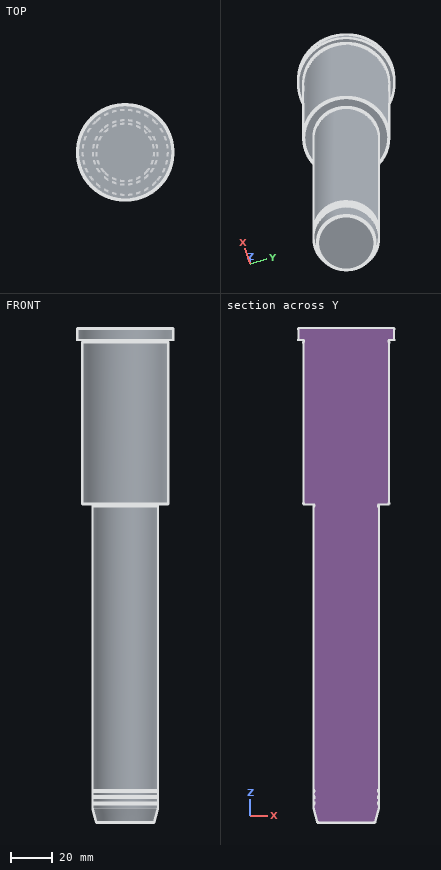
import cadquery as cq
import math

total_length = 241.0

head_diameter = 47.0
head_thickness = 6.0
head_chamfer = 0.5

shank_diameter = 42.0
shank_length = 80.0
shank_chamfer = 0.5

pin_diameter = 32.0

groove_width = 1.0
groove_depth = groove_width / 2
tip_groove_count = 3
tip_groove_pitch = 3.0
lowest_groove_bottom = 9.0

tip_length = 7.0
tip_taper_angle = 15.0
tip_end_chamfer = 0.5

head_bottom = total_length - head_thickness
shank_bottom = head_bottom - shank_length


def disc(diameter, bottom, height):
    """Solid cylinder on the Z axis."""
    return cq.Workplane("XY").workplane(offset=bottom).circle(diameter / 2).extrude(height)


def v_groove_ring(diameter, bottom):
    """V-section ring to cut from a cylinder of the given diameter."""
    radius = diameter / 2
    return (
        cq.Workplane("XZ")
        .moveTo(radius, bottom)
        .lineTo(radius - groove_depth, bottom + groove_width / 2)
        .lineTo(radius, bottom + groove_width)
        .close()
        .revolve(360, (0, 0, 0), (0, 1, 0))
    )


def make_head():
    """Flange with a chamfered top rim."""
    return disc(head_diameter, head_bottom, head_thickness).faces(">Z").edges().chamfer(head_chamfer)


def make_shank():
    """Thick cylinder, chamfered at its lower rim and grooved under the head."""
    shank = disc(shank_diameter, shank_bottom, shank_length).faces("<Z").edges().chamfer(shank_chamfer)
    return shank.cut(v_groove_ring(shank_diameter, head_bottom - groove_width))


def make_pin():
    """Slender pin with a tapered tip, grooved under the shank and near the tip."""
    taper_slope = math.tan(math.radians(tip_taper_angle))
    tip_end_radius = pin_diameter / 2 - (tip_length - tip_end_chamfer) * taper_slope
    profile = (
        cq.Workplane("XZ")
        .lineTo(tip_end_radius - tip_end_chamfer, 0)
        .lineTo(tip_end_radius, tip_end_chamfer)
        .lineTo(pin_diameter / 2, tip_length)
        .lineTo(pin_diameter / 2, shank_bottom)
        .lineTo(0, shank_bottom)
        .close()
    )
    pin = profile.revolve(360, (0, 0, 0), (0, 1, 0))
    pin = pin.cut(v_groove_ring(pin_diameter, shank_bottom - groove_width))
    for index in range(tip_groove_count):
        groove_bottom = lowest_groove_bottom + index * tip_groove_pitch
        pin = pin.cut(v_groove_ring(pin_diameter, groove_bottom))
    return pin


result = make_head().union(make_shank()).union(make_pin())